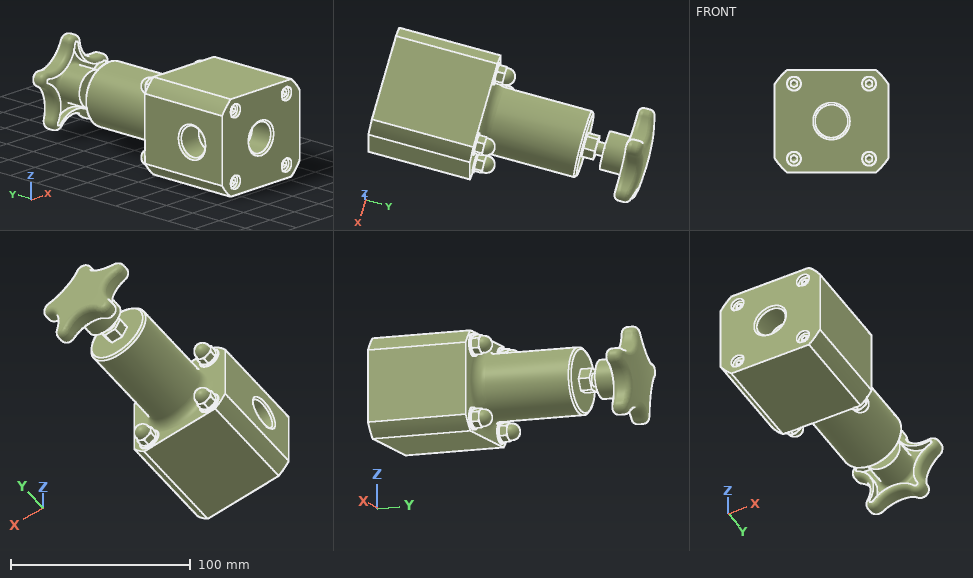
import cadquery as cq
import math

BLOCK_WIDTH = 63.5
BLOCK_LENGTH = 58.7
BLOCK_HEIGHT = 57.1
BLOCK_CORNER_RADIUS = 37.8

PORT_DIAMETER = 18.3
PORT_MOUTH_DIAMETER = 20.5
PORT_DEPTH = 15.2
PORT_CHAMFER = (PORT_MOUTH_DIAMETER - PORT_DIAMETER) / 2
SIDE_PORT_Y = 22.9

BOLT_SPACING = 41.8
COUNTERBORE_DIAMETER = 8.0
COUNTERBORE_DEPTH = 6.9
HEAD_DIAMETER = 7.5
HEAD_RECESS = 2.0
SOCKET_FLATS = 3.7
SOCKET_DEPTH = 2.3
HEX_CORNER_RATIO = 2 / math.sqrt(3)

WASHER_DIAMETER = 12.6
WASHER_THICKNESS = 0.8
NUT_FLATS = 9.6
NUT_TOP = BLOCK_LENGTH + 5.3
NUT_CHAMFER = 0.5
CAP_RADIUS = NUT_FLATS / 2
CAP_NECK_LENGTH = 1.0

BONNET_RADIUS = 38.1 / 2
BONNET_END = 116.3
BONNET_CHAMFER = 1.2
BONNET_BASE_FILLET = 6.2
JAM_NUT_FLATS = 12.2
JAM_NUT_END = 122.8
STEM_RADIUS = 7.5 / 2
HUB_RADIUS = 22.1 / 2
HUB_START = 127.7

WHEEL_START = 140.0
WHEEL_END = 152.4
DOME_RADIUS = 114.3
DOME_TRIM = 1.5
LOBE_COUNT = 5
WHEEL_RADIUS = BLOCK_HEIGHT / 2
LOBE_CENTRE_RADIUS = 24.0
LOBE_RADIUS = WHEEL_RADIUS - LOBE_CENTRE_RADIUS
HOLLOW_DISTANCE = 17.7
WHEEL_FILLET = 3.2
RIM_THICKNESS = 3.4
RECESS_DEPTH = 4.5
HUB_FLARE = 2.6


def plane_at(y):
    """Workplane parallel to XZ at the given y; a negative extrusion goes toward +Y."""
    return cq.Workplane("XZ", origin=(0, y, 0))


def cylinder(radius, start_y, end_y):
    return plane_at(start_y).circle(radius).extrude(start_y - end_y)


def hexagon(flats, start_y, end_y, corner_angle=0):
    """Hexagonal bar along Y; corner_angle is the direction of one corner, in degrees from +X."""
    bar = plane_at(start_y).polygon(6, flats * HEX_CORNER_RATIO).extrude(start_y - end_y)
    return bar.rotate((0, 0, 0), (0, 1, 0), -corner_angle)


def port_cutter():
    """Blind port along +Y from the origin, with a chamfered mouth."""
    return (
        cq.Workplane("XY")
        .polyline([
            (0, 0),
            (PORT_MOUTH_DIAMETER / 2, 0),
            (PORT_DIAMETER / 2, PORT_CHAMFER),
            (PORT_DIAMETER / 2, PORT_DEPTH),
            (0, PORT_DEPTH),
        ])
        .close()
        .revolve(360, (0, 0), (0, 1))
    )


def make_block():
    block = plane_at(0).rect(BLOCK_WIDTH, BLOCK_HEIGHT).extrude(-BLOCK_LENGTH)
    block = block.intersect(cylinder(BLOCK_CORNER_RADIUS, 0, BLOCK_LENGTH))
    side_port = port_cutter().rotate((0, 0, 0), (0, 0, 1), -90)
    side_port = side_port.translate((-BLOCK_WIDTH / 2, SIDE_PORT_Y, 0))
    return block.cut(port_cutter()).cut(side_port)


def make_bolt_head():
    """Socket head whose face lies below the block face; the socket ends in a drilled cone."""
    socket_end = HEAD_RECESS + SOCKET_DEPTH
    cone = cq.Solid.makeCone(
        SOCKET_FLATS / 2, 0, SOCKET_FLATS / 2,
        pnt=cq.Vector(0, socket_end, 0), dir=cq.Vector(0, 1, 0),
    )
    head = cylinder(HEAD_DIAMETER / 2, HEAD_RECESS, COUNTERBORE_DEPTH)
    return head.cut(hexagon(SOCKET_FLATS, HEAD_RECESS, socket_end, 90)).cut(cq.Workplane(cone))


def make_cap_nut():
    """Hexagon nut with trimmed corners, a short neck and a half-round cap, on a flat washer."""
    washer_top = BLOCK_LENGTH + WASHER_THICKNESS
    neck_top = NUT_TOP + CAP_NECK_LENGTH
    washer = cylinder(WASHER_DIAMETER / 2, BLOCK_LENGTH, washer_top)
    corner_radius = NUT_FLATS * HEX_CORNER_RATIO / 2
    corner_trim = cylinder(corner_radius, washer_top, NUT_TOP).edges().chamfer(NUT_CHAMFER)
    nut = hexagon(NUT_FLATS, washer_top, NUT_TOP, 90).intersect(corner_trim)
    neck = cylinder(CAP_RADIUS, washer_top, neck_top)
    cap = cq.Workplane("XY").sphere(CAP_RADIUS).translate((0, neck_top, 0))
    return washer.union(nut).union(neck).union(cap)


def make_bonnet():
    base_radius = BONNET_RADIUS + BONNET_BASE_FILLET
    fillet_top = BLOCK_LENGTH + BONNET_BASE_FILLET
    fillet_inset = BONNET_BASE_FILLET * (1 - math.sqrt(0.5))
    return (
        cq.Workplane("XY")
        .moveTo(0, BLOCK_LENGTH)
        .lineTo(base_radius, BLOCK_LENGTH)
        .threePointArc(
            (BONNET_RADIUS + fillet_inset, BLOCK_LENGTH + fillet_inset),
            (BONNET_RADIUS, fillet_top),
        )
        .lineTo(BONNET_RADIUS, BONNET_END - BONNET_CHAMFER)
        .lineTo(BONNET_RADIUS - BONNET_CHAMFER, BONNET_END)
        .lineTo(0, BONNET_END)
        .close()
        .revolve(360, (0, 0), (0, 1))
    )


def polar(radius, angle):
    return (radius * math.cos(angle), radius * math.sin(angle))


def star(inset, start_y, end_y):
    """Star plate along Y whose outline lies inset inside the wheel outline; one lobe points to +Z."""
    half_pitch = math.pi / LOBE_COUNT
    gap = HOLLOW_DISTANCE - LOBE_RADIUS
    hollow_centre = (LOBE_CENTRE_RADIUS**2 - gap**2) / (
        2 * (LOBE_CENTRE_RADIUS * math.cos(half_pitch) - gap)
    )
    hollow_side = hollow_centre * math.sin(half_pitch)
    hollow_reach = hollow_centre * math.cos(half_pitch) - LOBE_CENTRE_RADIUS
    tangent_direction = math.atan2(hollow_side, hollow_reach)

    lobe_radius = LOBE_RADIUS - inset
    tangent_x = LOBE_CENTRE_RADIUS + lobe_radius * math.cos(tangent_direction)
    tangent_z = lobe_radius * math.sin(tangent_direction)
    tangent_distance = math.hypot(tangent_x, tangent_z)
    tangent_angle = math.atan2(tangent_z, tangent_x)

    first_lobe = math.pi / 2
    outline = plane_at(start_y).moveTo(*polar(tangent_distance, first_lobe - tangent_angle))
    for index in range(LOBE_COUNT):
        lobe = first_lobe + 2 * half_pitch * index
        next_lobe = lobe + 2 * half_pitch
        outline = outline.threePointArc(
            polar(LOBE_CENTRE_RADIUS + lobe_radius, lobe),
            polar(tangent_distance, lobe + tangent_angle),
        )
        outline = outline.threePointArc(
            polar(HOLLOW_DISTANCE - inset, lobe + half_pitch),
            polar(tangent_distance, next_lobe - tangent_angle),
        )
    return outline.close().extrude(start_y - end_y)


def make_hub():
    """Hub that flares into the floor of the wheel recess."""
    floor_y = WHEEL_START + RECESS_DEPTH
    return (
        cq.Workplane("XY")
        .moveTo(0, HUB_START)
        .lineTo(HUB_RADIUS, HUB_START)
        .lineTo(HUB_RADIUS, floor_y - HUB_FLARE)
        .radiusArc((HUB_RADIUS + HUB_FLARE, floor_y), HUB_FLARE)
        .lineTo(0, floor_y)
        .close()
        .revolve(360, (0, 0), (0, 1))
    )


def make_handwheel():
    dome = cq.Workplane("XY").sphere(DOME_RADIUS).translate((0, WHEEL_END - DOME_RADIUS, 0))
    wheel = star(0, WHEEL_START, WHEEL_END + DOME_TRIM).intersect(dome)
    wheel = wheel.faces("<Y").edges().fillet(WHEEL_FILLET)
    wheel = wheel.faces("%SPHERE").edges().fillet(WHEEL_FILLET)
    wheel = wheel.cut(star(RIM_THICKNESS, WHEEL_START, WHEEL_START + RECESS_DEPTH))
    return wheel.union(make_hub())


result = make_block()
result = result.union(make_bonnet())
for x_side in (-1, 1):
    for z_side in (-1, 1):
        bolt_axis = (x_side * BOLT_SPACING / 2, 0, z_side * BOLT_SPACING / 2)
        counterbore = cylinder(COUNTERBORE_DIAMETER / 2, 0, COUNTERBORE_DEPTH)
        result = result.cut(counterbore.translate(bolt_axis))
        result = result.union(make_bolt_head().translate(bolt_axis))
        result = result.union(make_cap_nut().translate(bolt_axis))
result = result.union(hexagon(JAM_NUT_FLATS, BONNET_END, JAM_NUT_END))
result = result.union(cylinder(STEM_RADIUS, JAM_NUT_END, HUB_START))
result = result.union(make_handwheel())